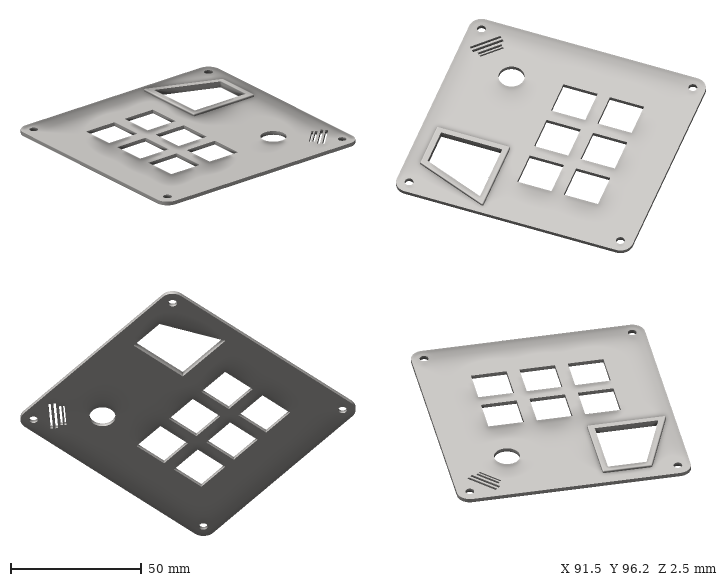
import cadquery as cq
import math

PLATE_WIDTH = 91.5
PLATE_LENGTH = 96.2
PLATE_THICKNESS = 1.5
CORNER_RADIUS = 5.0
SCREW_HOLE_DIAMETER = 3.4

BEZEL_HEIGHT = 1.0
BEZEL_BORDER = 2.5
BEZEL_EDGE_RADIUS = 0.5
WINDOW_LEFT_BOTTOM = -39.0
WINDOW_LEFT_TOP = -29.15
WINDOW_RIGHT = -14.0
WINDOW_BOTTOM = 14.8
WINDOW_TOP = 39.7

KNOB_DIAMETER = 10.0
KNOB_X = 22.2
KNOB_Y = 24.1

KEY_SIZE = 13.95
KEY_PITCH = 18.95
KEY_COLUMNS = 3
KEY_ROWS = 2
KEY_GRID_X = -0.6
KEY_GRID_Y = -12.3

VENT_ANGLE = 45
VENT_OUTER_X = 35.0
VENT_OUTER_Y = 39.3
VENT_SLOTS = [
    (0.0, 13.0, 1.0),
    (1.9, 13.0, 1.1),
    (3.9, 10.0, 1.0),
    (5.4, 10.0, 0.7),
]

CUT_HEIGHT = PLATE_THICKNESS + BEZEL_HEIGHT


def make_plate():
    plate = cq.Workplane("XY").rect(PLATE_WIDTH, PLATE_LENGTH).extrude(PLATE_THICKNESS)
    return plate.edges("|Z").fillet(CORNER_RADIUS)


def window_outline(border):
    """Corners of the display window, with every side moved outward by border."""
    run = WINDOW_LEFT_TOP - WINDOW_LEFT_BOTTOM
    rise = WINDOW_TOP - WINDOW_BOTTOM
    side_shift = border * math.hypot(run, rise) / rise
    corner_shift = border * run / rise
    return [
        (WINDOW_LEFT_BOTTOM - side_shift - corner_shift, WINDOW_BOTTOM - border),
        (WINDOW_RIGHT + border, WINDOW_BOTTOM - border),
        (WINDOW_RIGHT + border, WINDOW_TOP + border),
        (WINDOW_LEFT_TOP - side_shift + corner_shift, WINDOW_TOP + border),
    ]


def make_bezel():
    bezel = (
        cq.Workplane("XY")
        .workplane(offset=PLATE_THICKNESS)
        .polyline(window_outline(BEZEL_BORDER))
        .close()
        .extrude(BEZEL_HEIGHT)
    )
    return bezel.edges("|Z or >Z").fillet(BEZEL_EDGE_RADIUS)


def window_cutter():
    return cq.Workplane("XY").polyline(window_outline(0)).close().extrude(CUT_HEIGHT)


def screw_hole_cutter():
    """Four screw holes, concentric with the rounded plate corners."""
    return (
        cq.Workplane("XY")
        .rect(PLATE_WIDTH - 2 * CORNER_RADIUS, PLATE_LENGTH - 2 * CORNER_RADIUS, forConstruction=True)
        .vertices()
        .circle(SCREW_HOLE_DIAMETER / 2)
        .extrude(CUT_HEIGHT)
    )


def knob_cutter():
    return cq.Workplane("XY").center(KNOB_X, KNOB_Y).circle(KNOB_DIAMETER / 2).extrude(CUT_HEIGHT)


def key_cutter():
    return (
        cq.Workplane("XY")
        .center(KEY_GRID_X, KEY_GRID_Y)
        .rarray(KEY_PITCH, KEY_PITCH, KEY_COLUMNS, KEY_ROWS)
        .rect(KEY_SIZE, KEY_SIZE)
        .extrude(CUT_HEIGHT)
    )


def vent_cutter():
    """Slots drawn with the stacking line along X, then turned into place."""
    slots = cq.Workplane("XY")
    for distance, length, width in VENT_SLOTS:
        slot = cq.Workplane("XY").center(-distance, 0).rect(width, length).extrude(CUT_HEIGHT)
        slots = slots.add(slot)
    return (
        slots.combine()
        .rotate((0, 0, 0), (0, 0, 1), VENT_ANGLE)
        .translate((VENT_OUTER_X, VENT_OUTER_Y, 0))
    )


result = make_plate().union(make_bezel())
for cutter in (window_cutter(), screw_hole_cutter(), knob_cutter(), key_cutter(), vent_cutter()):
    result = result.cut(cutter)